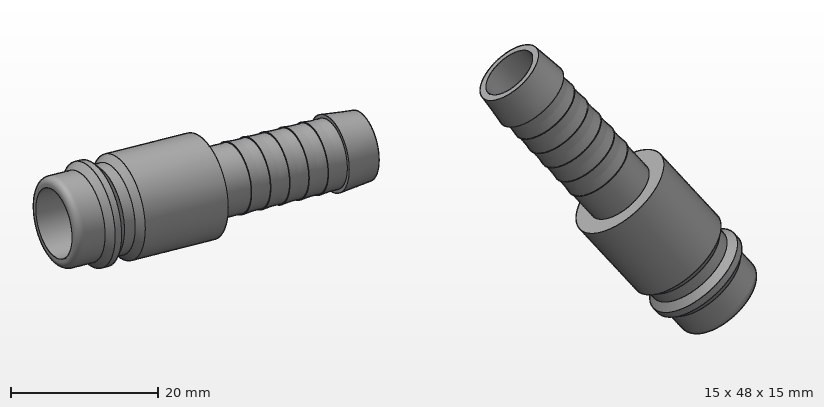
import cadquery as cq

total_length = 48.0

tail_radius = 5.0
head_length = 5.0
head_radius = 5.5
rib_count = 5
rib_length = 1.5
rib_height = 0.15
first_rib_end = 8.0
last_rib_end = 20.0
rib_pitch = (last_rib_end - first_rib_end) / (rib_count - 1)

body_radius = 7.5
nose_radius = 6.5
body_start = 25.0
body_end = 39.0
chamfer = body_radius - nose_radius
collar_start = 40.65
collar_land = 1.0
collar_end = collar_start + 2 * chamfer + collar_land
nose_rounding = 1.0

bore_radius = 4.0
wide_bore_radius = 5.0
wide_bore_depth = 20.0


def cylinder(radius, start, end):
    """Cylinder along Y between two distances from the hose end."""
    y_start = total_length / 2 - start
    return cq.Workplane("XZ", origin=(0, y_start, 0)).circle(radius).extrude(end - start)


def cone(start_radius, end_radius, start, end):
    """Cone frustum along Y between two distances from the hose end."""
    y_start = total_length / 2 - start
    y_end = total_length / 2 - end
    profile = [(0, y_start), (start_radius, y_start), (end_radius, y_end), (0, y_end)]
    return cq.Workplane("XY").polyline(profile).close().revolve(360, (0, 0, 0), (0, 1, 0))


def hose_tail():
    """Straight tube with a flared head and a row of shallow sawtooth ribs."""
    tail = cylinder(tail_radius, 0, body_start)
    tail = tail.union(cone(tail_radius, head_radius, 0, head_length))
    for index in range(rib_count):
        end = first_rib_end + index * rib_pitch
        tail = tail.union(cone(tail_radius, tail_radius + rib_height, end - rib_length, end))
    return tail


def plug():
    """Body, groove, collar and nose, with a rounded rim on the nose."""
    nose = cylinder(nose_radius, body_start, total_length).faces("<Y").edges().fillet(nose_rounding)
    body = cylinder(body_radius, body_start, body_end).faces("<Y").edges().chamfer(chamfer)
    collar = cylinder(body_radius, collar_start, collar_end).edges().chamfer(chamfer)
    return nose.union(body).union(collar)


passage = cylinder(bore_radius, 0, total_length)
wide_bore = cylinder(wide_bore_radius, total_length - wide_bore_depth, total_length)

result = hose_tail().union(plug()).cut(passage).cut(wide_bore)